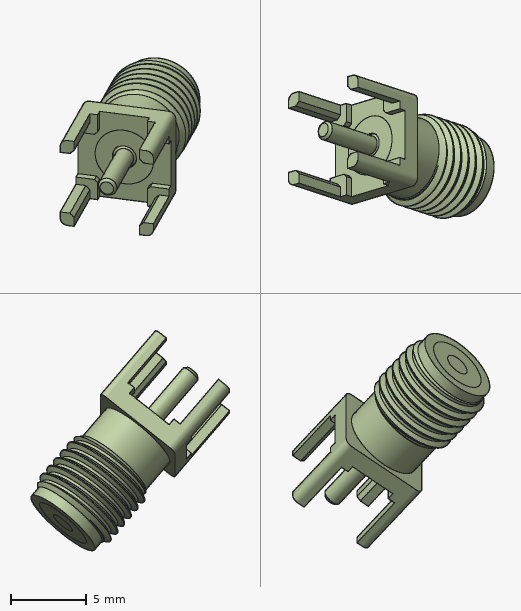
import cadquery as cq
import math


flange_side = 6.4
corner_radius = 0.5
flange_thickness = 1.2
pad_height = 0.5
pad_side = 1.5
pad_chamfer = 0.22
leg_length = 5.7
leg_side = 0.96
leg_chamfer = 0.28

overall_length = 13.5
barrel_length = overall_length - leg_length
barrel_radius = 2.75

thread_start = 2.52
thread_end = 7.07
crest_radius = 3.17
root_radius = 2.82
pitch = 0.7
crest_flat = 0.088
first_crest = 2.09
half_flank_angle = math.radians(30)
ridge_embed = 0.04
ridge_turns = 8
crest_clearance = 0.14

insulator_radius = 2.01
pin_radius = 0.63
pin_tip_radius = 0.46
pin_tip_length = 0.2
shoulder_radius = 0.82
shoulder_chamfer = shoulder_radius - pin_radius


def cylinder(radius, y_start, y_end):
    """Cylinder on the connector axis between two y positions."""
    return cq.Workplane("XZ", origin=(0, y_end, 0)).circle(radius).extrude(y_end - y_start)


def corner_posts(side, chamfer, length):
    """Four square posts, one per flange corner, with the inner edge chamfered."""
    outer = flange_side / 2
    inner = outer - side
    posts = cq.Workplane("XZ")
    for x_sign in (-1, 1):
        for z_sign in (-1, 1):
            outline = [
                (outer, outer),
                (outer, inner),
                (inner + chamfer, inner),
                (inner, inner + chamfer),
                (inner, outer),
            ]
            points = [(x_sign * x, z_sign * z) for x, z in outline]
            posts = posts.union(cq.Workplane("XZ").polyline(points).close().extrude(length))
    return posts


def make_base():
    """Flange with its corner pads and legs, all sharing the rounded corners."""
    base = cq.Workplane("XZ").rect(flange_side, flange_side).extrude(flange_thickness)
    base = base.union(corner_posts(pad_side, pad_chamfer, flange_thickness + pad_height))
    base = base.union(corner_posts(leg_side, leg_chamfer, leg_length))
    envelope = cq.Workplane("XZ").rect(flange_side, flange_side).extrude(leg_length)
    return base.intersect(envelope.edges("|Y").fillet(corner_radius))


def make_thread_ridge():
    """Helical thread ridge with a flat crest, running out past both ends of the thread."""
    flank_slope = math.tan(half_flank_angle)
    crest_half_width = crest_flat / 2
    base_radius = root_radius - ridge_embed
    base_half_width = crest_half_width + (crest_radius - base_radius) * flank_slope
    path = cq.Wire.makeHelix(pitch, ridge_turns * pitch, root_radius)
    profile = cq.Workplane("XZ").polyline([
        (base_radius, -base_half_width),
        (crest_radius, -crest_half_width),
        (crest_radius, crest_half_width),
        (base_radius, base_half_width),
    ]).close()
    ridge = profile.sweep(cq.Workplane(path), isFrenet=True)
    return ridge.rotate((0, 0, 0), (1, 0, 0), -90).translate((0, first_crest, 0))


def make_barrel():
    """Threaded barrel, with 45 degree lead-ins at both ends of the thread."""
    envelope_radius = crest_radius + crest_clearance
    lead_in = envelope_radius - barrel_radius
    envelope = cq.Workplane("XY").polyline([
        (0, thread_start),
        (barrel_radius, thread_start),
        (envelope_radius, thread_start + lead_in),
        (envelope_radius, thread_end - lead_in),
        (barrel_radius, thread_end),
        (0, thread_end),
    ]).close().revolve(360, (0, 0, 0), (0, 1, 0))
    core = cylinder(root_radius, first_crest - pitch, first_crest + (ridge_turns + 1) * pitch)
    threaded_rod = make_thread_ridge().union(core)
    thread = threaded_rod.intersect(envelope)
    lower_barrel = cylinder(barrel_radius, 0, thread_start)
    upper_barrel = cylinder(barrel_radius, thread_end, barrel_length)
    return lower_barrel.union(thread).union(upper_barrel)


def make_housing():
    """Base and barrel in one piece, bored through for the insulator."""
    bore = cylinder(insulator_radius, -flange_thickness, barrel_length)
    return make_base().union(make_barrel()).cut(bore)


def make_insulator():
    """Sleeve filling the housing bore, flush with the flange underside."""
    sleeve = cylinder(insulator_radius, -flange_thickness, barrel_length)
    return sleeve.cut(cylinder(shoulder_radius, -flange_thickness, barrel_length))


def make_pin():
    """Contact pin: thick inside the insulator, thinner and pointed below it."""
    return cq.Workplane("XY").polyline([
        (0, -leg_length),
        (pin_tip_radius, -leg_length),
        (pin_radius, -leg_length + pin_tip_length),
        (pin_radius, -flange_thickness),
        (shoulder_radius, -flange_thickness + shoulder_chamfer),
        (shoulder_radius, barrel_length),
        (0, barrel_length),
    ]).close().revolve(360, (0, 0, 0), (0, 1, 0))


housing = make_housing().solids().val()
insulator = make_insulator().solids().val()
pin = make_pin().solids().val()

result = cq.Compound.makeCompound([housing, insulator, pin])